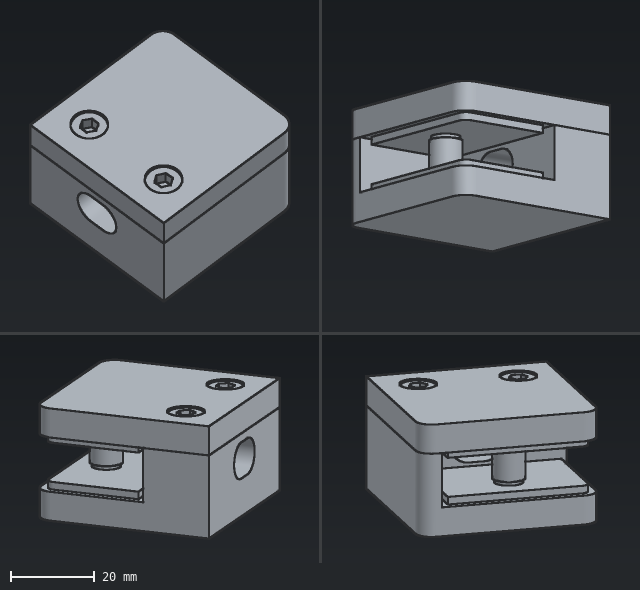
import cadquery as cq
import math

side = 45.0
height = 28.0
corner_radius = 4.0

cover_thickness = 7.25
jaw_thickness = cover_thickness
pocket_depth = 28.0
side_wall = 5.5
base_height = height - cover_thickness
pocket_height = base_height - jaw_thickness
pocket_width = side - side_wall
pocket_front = side / 2 - pocket_depth
pocket_centre_x = -side_wall / 2

pad_inset = 2.0
pad_thickness = 1.9
pad_corner_radius = corner_radius - pad_inset
pad_width = pocket_width - 2 * pad_inset
pad_depth = pocket_depth - 2 * pad_inset
pad_centre_y = (pocket_front + side / 2) / 2

pin_diameter = 8.0
pin_end_diameter = 7.0
pin_body_height = 7.75
pin_from_back = 10.5
pin_length = pocket_height - 2 * pad_thickness
pin_end_height = (pin_length - pin_body_height) / 2

passage_width = 13.0
passage_height = 9.0
passage_z = jaw_thickness + pocket_height / 2
front_wall = side - pocket_depth

screw_spacing = 25.0
screw_from_front = 10.0
head_recess = 0.3
head_diameter = 9.0
head_height = 5.0
head_edge_radius = 0.4
shank_diameter = 5.0
shank_length = 12.0
socket_across_flats = 4.0
socket_depth = 3.0
socket_across_corners = socket_across_flats / math.cos(math.pi / 6)
head_top = height - head_recess
head_bottom = head_top - head_height
shank_bottom = head_bottom - shank_length
socket_turn = 2.0
screw_places = [(x, screw_from_front - side / 2) for x in (-screw_spacing / 2, screw_spacing / 2)]
screw_turns = [-socket_turn, socket_turn]


def rounded_block(bottom, thickness):
    """Square block with its two +Y corners rounded."""
    block = cq.Workplane("XY").workplane(offset=bottom).rect(side, side).extrude(thickness)
    return block.edges("|Z and >Y").fillet(corner_radius)


def upright_cylinder(centre, diameter, bottom, top):
    """Vertical cylinder between two heights."""
    return cq.Workplane("XY", origin=(*centre, bottom)).circle(diameter / 2).extrude(top - bottom)


def make_base():
    """Lower jaw with its front and side walls."""
    pocket = (
        cq.Workplane("XY", origin=(pocket_centre_x, pad_centre_y, jaw_thickness))
        .rect(pocket_width, pocket_depth)
        .extrude(pocket_height)
    )
    passage = (
        cq.Workplane("XZ", origin=(0, pocket_front, passage_z))
        .slot2D(passage_width, passage_height)
        .extrude(front_wall)
    )
    base = rounded_block(0, base_height).cut(pocket).cut(passage)
    for place in screw_places:
        base = base.cut(upright_cylinder(place, shank_diameter, shank_bottom, base_height))
    return base


def make_cover():
    """Upper jaw with a counterbored hole for each screw."""
    cover = rounded_block(base_height, cover_thickness)
    for place in screw_places:
        cover = cover.cut(upright_cylinder(place, shank_diameter, base_height, head_bottom))
        cover = cover.cut(upright_cylinder(place, head_diameter, head_bottom, height))
    return cover


def make_pad(bottom):
    """Flat pad whose outer -X, +Y corner follows the rounding of the jaws."""
    pad = (
        cq.Workplane("XY", origin=(pocket_centre_x, pad_centre_y, bottom))
        .rect(pad_width, pad_depth)
        .extrude(pad_thickness)
    )
    return pad.edges("|Z and <X and >Y").fillet(pad_corner_radius)


def make_pin():
    """Cylindrical pin with a narrower step at both ends."""
    centre = (pocket_centre_x, side / 2 - pin_from_back)
    bottom = jaw_thickness + pad_thickness
    top = bottom + pin_length
    core = upright_cylinder(centre, pin_end_diameter, bottom, top)
    body = upright_cylinder(centre, pin_diameter, bottom + pin_end_height, top - pin_end_height)
    return core.union(body)


def make_screw(place, turn):
    """Socket head screw with a rounded head rim and a hexagonal socket."""
    head = upright_cylinder(place, head_diameter, head_bottom, head_top)
    head = head.faces(">Z").edges().fillet(head_edge_radius)
    shank = upright_cylinder(place, shank_diameter, shank_bottom, head_bottom)
    socket = (
        cq.Workplane("XY", origin=(*place, head_top - socket_depth))
        .transformed(rotate=(0, 0, turn))
        .polygon(6, socket_across_corners)
        .extrude(socket_depth)
    )
    return head.union(shank).cut(socket)


base = make_base()
cover = make_cover()
pads = [make_pad(bottom) for bottom in (jaw_thickness, base_height - pad_thickness)]
pin = make_pin()
screws = [make_screw(place, turn) for place, turn in zip(screw_places, screw_turns)]

result = cq.Compound.makeCompound([
    base.val(),
    cover.val(),
    *[pad.val() for pad in pads],
    pin.val(),
    *[screw.val() for screw in screws],
])